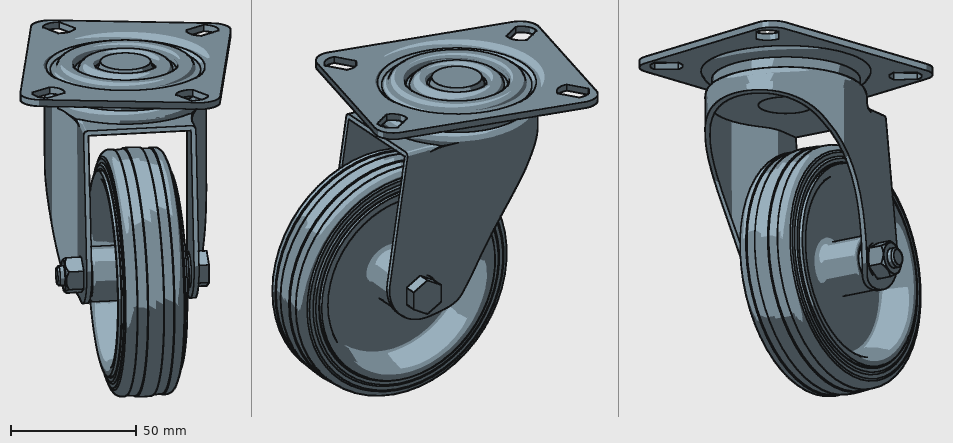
import cadquery as cq
import math


PLATE_TURN = -27.8
FORK_TURN = -16.1

PLATE_LENGTH = 95.0
PLATE_WIDTH = 80.0
PLATE_THICKNESS = 2.8
PLATE_CORNER_RADIUS = 8.0
SLOT_SPACING_X = 77.5
SLOT_SPACING_Y = 57.5
SLOT_WIDTH = 9.0
SLOT_LENGTH_DIAMETER = 13.0

PRESSING_DEPTH = 3.4
PRESSING_RIM_RADIUS = 35.1
RIVET_SEAT_DEPTH = 2.9
RIVET_TOP_DIAMETER = 20.15
RIVET_DIAMETER = 22.15

HEAD_DIAMETER = 59.4
HEAD_TOP = -PLATE_THICKNESS - PRESSING_DEPTH
SHOULDER_TOP = -10.4
SHOULDER_BOTTOM = -13.6
FORK_RADIUS = 32.4
FORK_THICKNESS = 2.0
FORK_TOP = -15.1
FORK_TOP_ROUND = 1.8
HEAD_BOTTOM = FORK_TOP - FORK_THICKNESS
ARM_HALF_WIDTH = 22.7
BEND_ANGLE = math.radians(33)
BEND_RADIUS = 13.8

AXLE_OFFSET = 32.0
AXLE_Z = -78.05
WHEEL_RADIUS = 50.05
RIM_RADIUS = 82.5 / 2
RIM_HALF_WIDTH = 14.0
TYRE_HALF_WIDTH = 11.8
WEB_HALF_THICKNESS = 1.2
HUB_RADIUS = 22.15 / 2
HUB_HALF_LENGTH = 19.4
HUB_END_ROUND = 1.0
HUB_ROOT_RADIUS = 2.8
END_GROOVE_RADIUS = 17.8 / 2
BUSH_RADIUS = 14.5 / 2
END_GROOVE_DEPTH = 1.0

BOLT_DIAMETER = 8.0
BOLT_END = 32.6
BOLT_END_CHAMFER = 0.8
BOLT_HEAD_HEIGHT = 5.3
HEX_ACROSS_FLATS = 13.0
HEX_CORNER_DIAMETER = HEX_ACROSS_FLATS / math.cos(math.pi / 6)
NUT_HEIGHT = 7.2
NUT_FACE_RADIUS = 6.3


def swing(body):
    """Swing a fork-side body about the swivel axis."""
    return body.rotate((0, 0, 0), (0, 0, 1), FORK_TURN)


def onto_axle(body):
    """Move a body from the Y axis onto the axle."""
    return body.translate((AXLE_OFFSET, 0, AXLE_Z))


def make_plate():
    flat = (
        cq.Workplane("XY")
        .workplane(offset=-PLATE_THICKNESS)
        .rect(PLATE_LENGTH, PLATE_WIDTH)
        .extrude(PLATE_THICKNESS)
        .edges("|Z")
        .fillet(PLATE_CORNER_RADIUS)
    )
    for side_x in (-1, 1):
        for side_y in (-1, 1):
            flat = flat.cut(mounting_slot(side_x, side_y))
    opening = cq.Workplane("XY").circle(PRESSING_RIM_RADIUS).extrude(-PLATE_THICKNESS)
    plate = flat.cut(opening).union(make_pressing())
    return plate.rotate((0, 0, 0), (0, 0, 1), PLATE_TURN)


def mounting_slot(side_x, side_y):
    """Slot pointing at 45 degrees toward the plate's middle, ends rounded by one circle."""
    height = 3 * PLATE_THICKNESS
    band = cq.Workplane("XY").box(2 * SLOT_LENGTH_DIAMETER, SLOT_WIDTH, height)
    disc = cq.Workplane("XY").circle(SLOT_LENGTH_DIAMETER / 2).extrude(height / 2, both=True)
    slot = disc.intersect(band).rotate((0, 0, 0), (0, 0, 1), 45 * side_x * side_y)
    return slot.translate((side_x * SLOT_SPACING_X / 2, side_y * SLOT_SPACING_Y / 2, 0))


def make_pressing():
    """Ring-shaped grooves pressed into the middle of the plate."""
    bottom = -PRESSING_DEPTH
    outer_crest_radii = (25.0, 22.5)
    inner_crest_radii = (15.0, 14.5)
    outer_groove_radii = (30.1, 29.2)
    inner_groove_radii = (20.4, 19.0)
    seat_radius = 24.0 / 2
    underside = HEAD_TOP
    rivet_radius = RIVET_DIAMETER / 2
    profile = (
        cq.Workplane("XZ")
        .moveTo(PRESSING_RIM_RADIUS, 0)
        .threePointArc((33.2, -0.6), (31.75, -2.2))
        .lineTo(outer_groove_radii[0], bottom)
        .lineTo(outer_groove_radii[1], bottom)
        .threePointArc((28.0, -2.9), (27.5, -1.9))
        .threePointArc((26.6, -0.5), (outer_crest_radii[0], 0))
        .lineTo(outer_crest_radii[1], 0)
        .threePointArc((21.3, -0.6), (20.9, -1.8))
        .lineTo(inner_groove_radii[0], bottom)
        .lineTo(inner_groove_radii[1], bottom)
        .threePointArc((17.7, -1.0), (inner_crest_radii[0], 0))
        .lineTo(inner_crest_radii[1], 0)
        .threePointArc((12.7, -0.8), (seat_radius, -RIVET_SEAT_DEPTH))
        .lineTo(rivet_radius, -RIVET_SEAT_DEPTH)
        .lineTo(rivet_radius, underside)
        .lineTo(HEAD_DIAMETER / 2, underside)
        .threePointArc((32.6, -4.9), (34.0, -PLATE_THICKNESS))
        .lineTo(PRESSING_RIM_RADIUS, -PLATE_THICKNESS)
        .close()
    )
    return profile.revolve(360, (0, 0, 0), (0, 1, 0))


def make_rivet():
    """Rivet whose exposed head tapers from the plate's ring groove up to the plate's top face."""
    radius = RIVET_DIAMETER / 2
    return (
        cq.Workplane("XZ")
        .lineTo(RIVET_TOP_DIAMETER / 2, 0)
        .lineTo(radius, -RIVET_SEAT_DEPTH)
        .lineTo(radius, HEAD_BOTTOM)
        .lineTo(0, HEAD_BOTTOM)
        .close()
        .revolve(360, (0, 0, 0), (0, 1, 0))
    )


BEND_CENTRE_Y = ARM_HALF_WIDTH + BEND_RADIUS
BEND_CENTRE_X = (
    FORK_RADIUS + BEND_RADIUS - BEND_CENTRE_Y * math.cos(BEND_ANGLE)
) / math.sin(BEND_ANGLE)


def bend_point(angle, radius):
    """Point on the +Y arm bend, at an angle back from where the bend meets the straight arm."""
    return (BEND_CENTRE_X - radius * math.sin(angle), BEND_CENTRE_Y - radius * math.cos(angle))


def fork_plan(inset, height):
    """Solid in the fork's plan shape: round front, walls bending in to two parallel arms."""
    radius = FORK_RADIUS - inset
    half_width = ARM_HALF_WIDTH - inset
    bend_radius = BEND_RADIUS + inset
    sine = math.sin(BEND_ANGLE)
    cosine = math.cos(BEND_ANGLE)
    front_end = (radius * sine, radius * cosine)
    bend_start = bend_point(BEND_ANGLE, bend_radius)
    bend_middle = bend_point(BEND_ANGLE / 2, bend_radius)
    rear_x = 60.0
    return (
        cq.Workplane("XY")
        .moveTo(rear_x, half_width)
        .lineTo(BEND_CENTRE_X, half_width)
        .threePointArc(bend_middle, bend_start)
        .lineTo(*front_end)
        .threePointArc((-radius, 0), (front_end[0], -front_end[1]))
        .lineTo(bend_start[0], -bend_start[1])
        .threePointArc((bend_middle[0], -bend_middle[1]), (BEND_CENTRE_X, -half_width))
        .lineTo(rear_x, -half_width)
        .close()
        .extrude(-height)
        .translate((0, 0, FORK_TOP))
    )


def fork_side_shape():
    """Side outline of the arms: sloping front edge, rounded foot, slanted rear edge."""
    clearance = 1.0
    front_edge_z = -19.8
    rear_edge_x = 37.8
    foot_x = 30.4
    foot_z = -73.7
    foot_radius = 16.2
    front_angle = math.radians(203)
    rear_angle = math.radians(7)

    def on_foot(angle):
        return (foot_x + foot_radius * math.cos(angle), foot_z + foot_radius * math.sin(angle))

    return (
        cq.Workplane("XZ")
        .moveTo(-FORK_RADIUS - clearance, FORK_TOP)
        .lineTo(-FORK_RADIUS - clearance, front_edge_z)
        .lineTo(-FORK_RADIUS, front_edge_z)
        .threePointArc((-24.2, -23.8), (-14.2, -32.2))
        .threePointArc((-2.4, -45.5), (8.8, -64.5))
        .lineTo(*on_foot(front_angle))
        .threePointArc((foot_x, foot_z - foot_radius), on_foot(rear_angle))
        .lineTo(rear_edge_x, FORK_TOP)
        .close()
        .extrude(FORK_RADIUS + clearance, both=True)
    )


def make_fork():
    wall_height = 80.0
    outer = fork_plan(0, wall_height).faces(">Z").edges().fillet(FORK_TOP_ROUND)
    hollow = fork_plan(FORK_THICKNESS, wall_height).translate((0, 0, -FORK_THICKNESS))
    shell = outer.cut(hollow).intersect(fork_side_shape())
    fork = shell.union(fork_head()).union(shoulder_ramp())
    for cutter in (rivet_hole(), axle_hole(), spot_face(-1), spot_face(1), wrench_flat()):
        fork = fork.cut(cutter)
    return swing(fork)


def fork_head():
    """Bearing head: a cylinder with a rounded shoulder running down into the fork wall."""
    head_radius = HEAD_DIAMETER / 2
    return (
        cq.Workplane("XZ")
        .moveTo(0, HEAD_TOP)
        .lineTo(head_radius, HEAD_TOP)
        .lineTo(head_radius, SHOULDER_TOP)
        .threePointArc((31.6, -11.5), (FORK_RADIUS, SHOULDER_BOTTOM))
        .lineTo(FORK_RADIUS, HEAD_BOTTOM)
        .lineTo(0, HEAD_BOTTOM)
        .close()
        .revolve(360, (0, 0, 0), (0, 1, 0))
    )


def shoulder_ramp():
    """Upper edge of the wall: level around the front, then ramping down onto the arms."""
    ramp_top_x = 17.0
    ramp_foot_x = 27.0
    ramp_foot_z = FORK_TOP - FORK_TOP_ROUND
    side_shape = (
        cq.Workplane("XZ")
        .moveTo(-FORK_RADIUS, SHOULDER_BOTTOM)
        .lineTo(ramp_top_x, SHOULDER_BOTTOM)
        .lineTo(ramp_foot_x, ramp_foot_z)
        .lineTo(-FORK_RADIUS, ramp_foot_z)
        .close()
        .extrude(FORK_RADIUS, both=True)
    )
    rise = SHOULDER_BOTTOM - FORK_TOP
    return fork_plan(0, rise + FORK_TOP_ROUND).translate((0, 0, rise)).intersect(side_shape)


def rivet_hole():
    return cq.Workplane("XY").circle(RIVET_DIAMETER / 2).extrude(2 * FORK_TOP)


def axle_hole():
    hole = cq.Workplane("XZ").circle(BOLT_DIAMETER / 2).extrude(2 * ARM_HALF_WIDTH, both=True)
    return onto_axle(hole)


def spot_face(side):
    """Flat seat that clears the hexagon on one arm's outer face."""
    depth = 5.0
    seat = cq.Workplane("XZ").circle(HEX_CORNER_DIAMETER / 2).extrude(depth / 2, both=True)
    return onto_axle(seat.translate((0, side * (ARM_HALF_WIDTH + depth / 2), 0)))


def wrench_flat():
    """Small flat that carries the slanted wall of the -Y arm on toward the nut."""
    length = 6.0
    height = 5.0
    start_x, start_y = bend_point(BEND_ANGLE, BEND_RADIUS)
    cutter = cq.Workplane("XY").box(length, length, height).translate((length / 2, -length / 2, 0))
    cutter = cutter.rotate((0, 0, 0), (0, 0, 1), math.degrees(BEND_ANGLE))
    return cutter.translate((start_x, -start_y, AXLE_Z))


def make_rim():
    """Wheel rim, web and hub as one revolved half, mirrored about the wheel's mid-plane."""
    hub_end = HUB_HALF_LENGTH
    groove_bottom = hub_end - END_GROOVE_DEPTH
    bush_end = ARM_HALF_WIDTH - FORK_THICKNESS
    bore = BOLT_DIAMETER / 2
    web_radius = 33.0
    web_round = 1.5
    lip_radius = 39.7
    lip_round = 2.6
    half = (
        cq.Workplane("XY")
        .moveTo(bore, 0)
        .lineTo(bore, bush_end)
        .lineTo(BUSH_RADIUS, bush_end)
        .lineTo(BUSH_RADIUS, groove_bottom)
        .lineTo(END_GROOVE_RADIUS, groove_bottom)
        .lineTo(END_GROOVE_RADIUS, hub_end)
        .lineTo(HUB_RADIUS - HUB_END_ROUND, hub_end)
        .radiusArc((HUB_RADIUS, hub_end - HUB_END_ROUND), HUB_END_ROUND)
        .lineTo(HUB_RADIUS, WEB_HALF_THICKNESS + HUB_ROOT_RADIUS)
        .radiusArc((HUB_RADIUS + HUB_ROOT_RADIUS, WEB_HALF_THICKNESS), -HUB_ROOT_RADIUS)
        .lineTo(web_radius, WEB_HALF_THICKNESS)
        .radiusArc((34.6, 2.5), -web_round)
        .lineTo(37.2, 12.0)
        .radiusArc((lip_radius, RIM_HALF_WIDTH), lip_round)
        .lineTo(RIM_RADIUS, RIM_HALF_WIDTH)
        .lineTo(RIM_RADIUS, 0)
        .close()
        .revolve(360, (0, 0, 0), (0, 1, 0))
    )
    rim = half.union(half.mirror("XZ"))
    return swing(onto_axle(rim))


def make_tyre():
    """Tyre with a low centre ridge, grooved tread and stepped side walls."""
    shoulder_radius = 49.55
    shoulder_edge = 7.6
    ridge_radius = 49.9
    ridge_half_width = 3.1
    bead_width = 12.9
    step_width = 12.3
    half = (
        cq.Workplane("XY")
        .moveTo(RIM_RADIUS, 0)
        .lineTo(RIM_RADIUS, 12.4)
        .lineTo(41.9, bead_width)
        .lineTo(43.4, bead_width)
        .lineTo(44.3, step_width)
        .lineTo(46.0, step_width)
        .lineTo(46.8, TYRE_HALF_WIDTH)
        .threePointArc((48.8, 10.8), (shoulder_radius, 9.0))
        .lineTo(shoulder_radius, shoulder_edge)
        .lineTo(49.2, 7.3)
        .lineTo(49.5, 3.4)
        .lineTo(ridge_radius, ridge_half_width)
        .lineTo(WHEEL_RADIUS, 0)
        .close()
        .revolve(360, (0, 0, 0), (0, 1, 0))
    )
    tyre = half.union(half.mirror("XZ"))
    return swing(onto_axle(tyre))


def hexagon(height):
    """Hexagon along -Y from the origin, with two corners pointing up and down."""
    flat = cq.Workplane("XZ").polygon(6, HEX_CORNER_DIAMETER).extrude(height)
    return flat.rotate((0, 0, 0), (0, 1, 0), 30)


def make_bolt():
    shank = (
        cq.Workplane("XZ")
        .workplane(offset=-ARM_HALF_WIDTH)
        .circle(BOLT_DIAMETER / 2)
        .extrude(ARM_HALF_WIDTH + BOLT_END)
        .faces("<Y")
        .chamfer(BOLT_END_CHAMFER)
    )
    head = hexagon(BOLT_HEAD_HEIGHT).translate((0, ARM_HALF_WIDTH + BOLT_HEAD_HEIGHT, 0))
    return swing(onto_axle(shank.union(head)))


def make_nut():
    chamfer = HEX_CORNER_DIAMETER / 2 - NUT_FACE_RADIUS
    envelope = (
        cq.Workplane("XZ")
        .circle(HEX_CORNER_DIAMETER / 2)
        .extrude(NUT_HEIGHT)
        .faces("<Y")
        .chamfer(chamfer)
    )
    bore = cq.Workplane("XZ").circle(BOLT_DIAMETER / 2).extrude(NUT_HEIGHT)
    nut = hexagon(NUT_HEIGHT).intersect(envelope).cut(bore)
    return swing(onto_axle(nut.translate((0, -ARM_HALF_WIDTH, 0))))


plate = make_plate()
rivet = make_rivet()
fork = make_fork()
rim = make_rim()
tyre = make_tyre()
bolt = make_bolt()
nut = make_nut()

bodies = [plate, rivet, fork, rim, tyre, bolt, nut]
result = cq.Compound.makeCompound([body.val() for body in bodies])